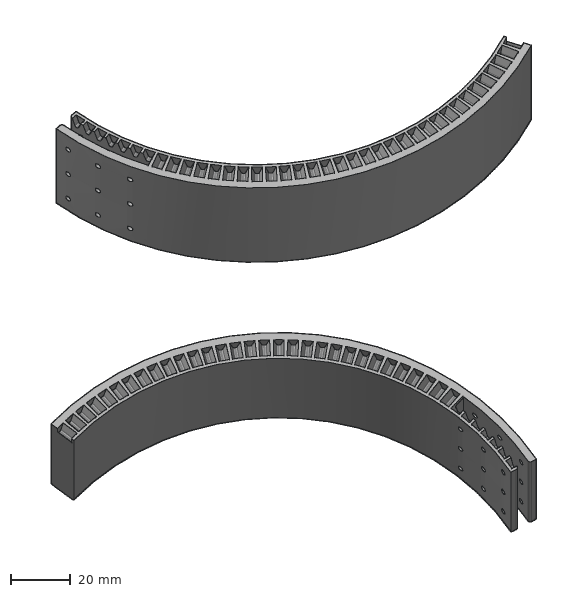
import cadquery as cq
import math

height = 40.0
outer_radius = 100.0
band_thickness = 10.0
inner_radius = outer_radius - band_thickness
start_angle = -100
end_angle = 9

outer_skin = 2.8
inner_skin = 1.0
channel_outer_radius = outer_radius - outer_skin
channel_inner_radius = inner_radius + inner_skin

rail_thickness = 3.0
slot_inner_radius = inner_radius + rail_thickness
slot_end_angle = -80
mouth_fillet = 0.9

bottom_chamfer = 0.4

teeth_per_turn = 125
tooth_pitch = 360 / teeth_per_turn
first_groove_offset = 1.8
first_groove_angle = start_angle + first_groove_offset
groove_top_width = 3.6
groove_depth = 3.4
flank_angle = 20
groove_bottom_width = groove_top_width - 2 * groove_depth * math.tan(math.radians(flank_angle))
root_fillet = 0.6
groove_count = math.ceil((end_angle - first_groove_angle) / tooth_pitch)

hole_diameter = 2.0
hole_row_spacing = 13.0
hole_center_angle = -90
hole_angle_step = 7


def polar(radius, angle):
    radians = math.radians(angle)
    return (radius * math.cos(radians), radius * math.sin(radians))


def arc_wall(r_in, r_out, angle_from, angle_to):
    """Full-height wall between two radii and two angles."""
    middle = (angle_from + angle_to) / 2
    return (
        cq.Workplane("XY")
        .moveTo(*polar(r_in, angle_from))
        .threePointArc(polar(r_in, middle), polar(r_in, angle_to))
        .lineTo(*polar(r_out, angle_to))
        .threePointArc(polar(r_out, middle), polar(r_out, angle_from))
        .close()
        .extrude(height)
    )


def split_band():
    """Band with chamfered bottom rims, slotted, with the slot mouth rounded."""
    band = arc_wall(inner_radius, outer_radius, start_angle, end_angle)
    band = band.faces("<Z").edges("%CIRCLE").chamfer(bottom_chamfer)
    angle_overshoot = 5
    slot = arc_wall(slot_inner_radius, channel_outer_radius, start_angle - angle_overshoot, slot_end_angle)
    band = band.cut(slot)
    for radius in (slot_inner_radius, channel_outer_radius):
        corner = polar(radius, start_angle) + (height / 2,)
        band = band.edges(cq.NearestToPointSelector(corner)).fillet(mouth_fillet)
    return band


def groove(angle):
    """Round-rooted trapezoidal groove running radially at the given angle."""
    floor = height - groove_depth
    return (
        cq.Workplane("YZ", origin=(inner_radius, 0, 0))
        .polyline([
            (-groove_bottom_width / 2, floor),
            (groove_bottom_width / 2, floor),
            (groove_top_width / 2, height),
            (-groove_top_width / 2, height),
        ])
        .close()
        .extrude(band_thickness)
        .faces("<Z")
        .edges("|X")
        .fillet(root_fillet)
        .rotate((0, 0, 0), (0, 0, 1), angle)
    )


def hole(angle, z):
    """Radial hole through the plate and the rail."""
    overshoot = 2.3
    return (
        cq.Workplane("YZ", origin=(inner_radius - overshoot, 0, 0))
        .center(0, z)
        .circle(hole_diameter / 2)
        .extrude(band_thickness + 2 * overshoot)
        .rotate((0, 0, 0), (0, 0, 1), angle)
    )


result = split_band()

channel = arc_wall(
    channel_inner_radius, channel_outer_radius, start_angle - tooth_pitch, end_angle + tooth_pitch
)
for index in range(groove_count):
    result = result.cut(groove(first_groove_angle + index * tooth_pitch).intersect(channel))

for column in (-1, 0, 1):
    for row in (-1, 0, 1):
        z = height / 2 + row * hole_row_spacing
        result = result.cut(hole(hole_center_angle + column * hole_angle_step, z))